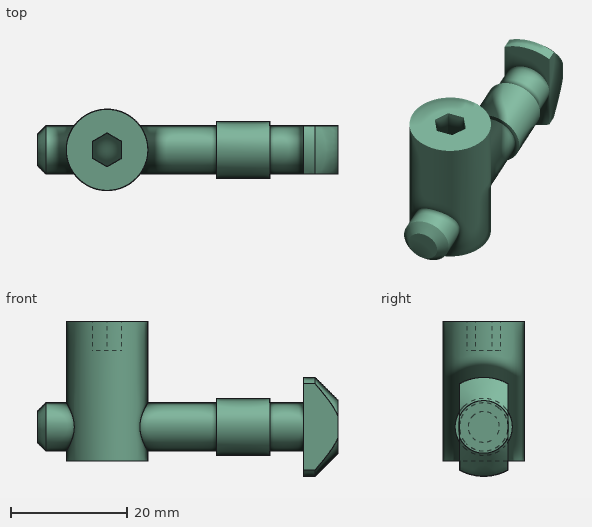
import cadquery as cq

total_length = 51.7

pin_diameter = 8.3
pin_chamfer = 1.5

sleeve_diameter = 9.8
sleeve_start = 30.75
sleeve_length = 9.2

head_diameter = 17.0
head_length = 6.0
head_rim_length = 2.0
head_cone_length = head_length - head_rim_length
head_start = total_length - head_length
pin_axis_z = head_diameter / 2

barrel_diameter = 14.0
barrel_height = 24.0
barrel_top = 26.6
barrel_x = 12.0
socket_across_flats = 5.0
socket_depth = 5.0


def rod(diameter, start, length):
    """Cylinder along X on the pin axis."""
    plane = cq.Workplane("YZ", origin=(start, 0, pin_axis_z))
    return plane.circle(diameter / 2).extrude(length)


def make_pin():
    return rod(pin_diameter, 0, head_start + head_rim_length).faces("<X").chamfer(pin_chamfer)


def make_head():
    disc = rod(head_diameter, head_start, head_length).faces(">X").chamfer(head_cone_length)
    trim = cq.Workplane("XY").box(head_length, pin_diameter, head_diameter)
    trim_center_x = head_start + head_length / 2
    return disc.intersect(trim.translate((trim_center_x, 0, pin_axis_z)))


def make_barrel():
    plane = cq.Workplane("XY", origin=(barrel_x, 0, barrel_top))
    return plane.circle(barrel_diameter / 2).extrude(-barrel_height)


def make_socket():
    plane = cq.Workplane("XY", origin=(barrel_x, 0, barrel_top))
    hexagon = plane.polygon(6, socket_across_flats, circumscribed=True)
    return hexagon.extrude(-socket_depth)


sleeve = rod(sleeve_diameter, sleeve_start, sleeve_length)
result = make_barrel().union(make_pin()).union(sleeve).union(make_head()).cut(make_socket())